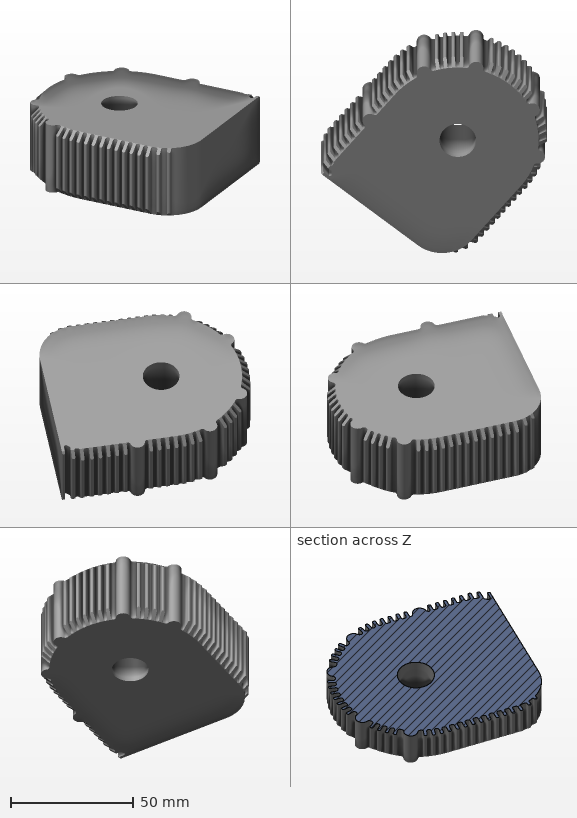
import cadquery as cq
import math

overall_length = 83.6
overall_width = 73.0
height = 30.0
core_radius = 33.0
tip_radius = overall_width / 2
fin_length = tip_radius - core_radius
right_side = overall_length - tip_radius
corner_radius = 15.5
bore_diameter = 15.0

fin_width = 1.5
fin_pitch = 3.5
fin_angle = 5.5
fan_groups = ((90 + 2 * fin_angle, 3), (135, 4), (180, 7), (225, 4), (270 - 2 * fin_angle, 3))
fin_tip_rounding = 0.6
fin_root_rounding = 0.7
fin_root_depth = 1.7
last_side_fin = 8
top_gap_fins = (4, 5)
last_top_fin = 10

boss_radius = 3.0
boss_distance = tip_radius - boss_radius
boss_fillet = 1.25
touch_tolerance = 0.01
boss_angles = (116.4, 153.6, 206.4, 243.6)
top_boss_x = sum(top_gap_fins) / 2 * fin_pitch

corner_fins = (
    (31.9, -36.4, 3.35, 4.0),
    (36.1, -34.7, 2.1, 8.0),
    (39.8, -32.4, 1.4, 11.0),
)

spaced_fin_x = 39.0
short_fin_x = 42.65
short_fin_top = 35.7
gap_floor = 32.5
gap_bevel = 0.5
tongue_thickness = 1.25
tongue_top = 33.95
tongue_rounding = 0.5
slot_left_depth = 31.2
slot_right_depth = 30.45
slot_bottom = (45.0, 29.9)


def body_outline(offset):
    """D-shaped outline moved outwards by offset, with one rounded corner."""
    radius = core_radius + offset
    right = right_side + offset
    corner = corner_radius + offset
    corner_middle = corner * (1 - math.sqrt(0.5))
    return (
        cq.Workplane("XY")
        .moveTo(0, radius)
        .threePointArc((-radius, 0), (0, -radius))
        .lineTo(right - corner, -radius)
        .threePointArc((right - corner_middle, -radius + corner_middle), (right, -radius + corner))
        .lineTo(right, radius)
        .close()
    )


def make_core():
    """Core with the bosses blended into its wall."""
    centres = [(top_boss_x, boss_distance)]
    for angle in boss_angles:
        turn = math.radians(angle)
        centres.append((boss_distance * math.cos(turn), boss_distance * math.sin(turn)))
    core = body_outline(0).extrude(height)
    for x, y in centres:
        core = core.union(cq.Workplane("XY").center(x, y).circle(boss_radius).extrude(height))

    def meets_boss(edge):
        middle = edge.Center()
        gaps = [math.hypot(middle.x - x, middle.y - y) - boss_radius for x, y in centres]
        return any(abs(gap) < touch_tolerance for gap in gaps)

    necks = core.edges("|Z").filter(meets_boss)
    return core.newObject(necks.vals()).fillet(boss_fillet)


def make_fin(length=fin_length, both_flares=True):
    """Fin pointing to +Y from the X axis; the root is flared on its +X side or on both sides."""
    half = fin_width / 2
    flare = half + fin_root_rounding
    root_bend = fin_root_rounding * (1 - math.sqrt(0.5))
    tip_bend = fin_tip_rounding * (1 - math.sqrt(0.5))
    shoulder = length - fin_tip_rounding
    profile = (
        cq.Workplane("XY")
        .moveTo(0, -fin_root_depth)
        .lineTo(flare, -fin_root_depth)
        .lineTo(flare, 0)
        .threePointArc((half + root_bend, root_bend), (half, fin_root_rounding))
        .lineTo(half, shoulder)
        .threePointArc((half - tip_bend, length - tip_bend), (half - fin_tip_rounding, length))
        .lineTo(fin_tip_rounding - half, length)
        .threePointArc((tip_bend - half, length - tip_bend), (-half, shoulder))
    )
    if both_flares:
        profile = (
            profile.lineTo(-half, fin_root_rounding)
            .threePointArc((-half - root_bend, root_bend), (-flare, 0))
            .lineTo(-flare, -fin_root_depth)
        )
    else:
        profile = profile.lineTo(-half, -fin_root_depth)
    return profile.close().extrude(height)


def make_fins():
    """All fins at full height, before their ends are bevelled."""
    fin = make_fin()
    fins = []
    on_core = fin.translate((0, core_radius, 0))

    for middle_angle, count in fan_groups:
        for step in range(count):
            angle = middle_angle + fin_angle * (step - (count - 1) / 2)
            fins.append(on_core.rotate((0, 0, 0), (0, 0, 1), angle - 90))

    upside_down = on_core.rotate((0, 0, 0), (0, 0, 1), 180)
    for step in range(last_side_fin + 1):
        fins.append(upside_down.translate((step * fin_pitch, 0, 0)))
    for step in range(last_top_fin + 1):
        if step not in top_gap_fins:
            fins.append(on_core.translate((step * fin_pitch, 0, 0)))
    fins.append(on_core.translate((spaced_fin_x, 0, 0)))
    fins.append(fin.translate((short_fin_x, short_fin_top - fin_length, 0)))

    for x, y, length, lean in corner_fins:
        corner_fin = make_fin(length, both_flares=False).translate((0, -length, 0))
        fins.append(corner_fin.rotate((0, 0, 0), (0, 0, 1), 180 + lean).translate((x, y, 0)))
    return fins


def make_tongue():
    """Thin lip standing at the end of the flat side."""
    return (
        cq.Workplane("XY")
        .box(tongue_thickness, tongue_top - slot_bottom[1], height, centered=False)
        .translate((right_side - tongue_thickness, slot_bottom[1], 0))
        .edges("|Z and >Y")
        .fillet(tongue_rounding)
    )


def make_notches():
    """V-bottomed slot beside the tongue and the lowered gap before the short fin."""
    slot_left = short_fin_x + fin_width / 2
    slot_right = right_side - tongue_thickness
    slot = (
        cq.Workplane("XY")
        .polyline([
            (slot_left, tip_radius),
            (slot_left, slot_left_depth),
            slot_bottom,
            (slot_right, slot_right_depth),
            (slot_right, tip_radius),
        ])
        .close()
        .extrude(height)
    )
    gap_left = spaced_fin_x + fin_width / 2
    gap_right = short_fin_x - fin_width / 2
    gap = (
        cq.Workplane("XY")
        .polyline([
            (gap_left, tip_radius),
            (gap_left, gap_floor + gap_bevel),
            (gap_left + gap_bevel, gap_floor),
            (gap_right, gap_floor),
            (gap_right, tip_radius),
        ])
        .close()
        .extrude(height)
    )
    return slot.union(gap)


envelope = body_outline(fin_length).extrude(height).faces("|Z").chamfer(fin_length)
bore = cq.Workplane("XY").circle(bore_diameter / 2).extrude(height)

core = make_core()
bevelled = [feature.intersect(envelope).val() for feature in make_fins() + [make_tongue()]]
finned = core.newObject([core.val().fuse(*bevelled)])
result = finned.cut(make_notches()).cut(bore).solids()